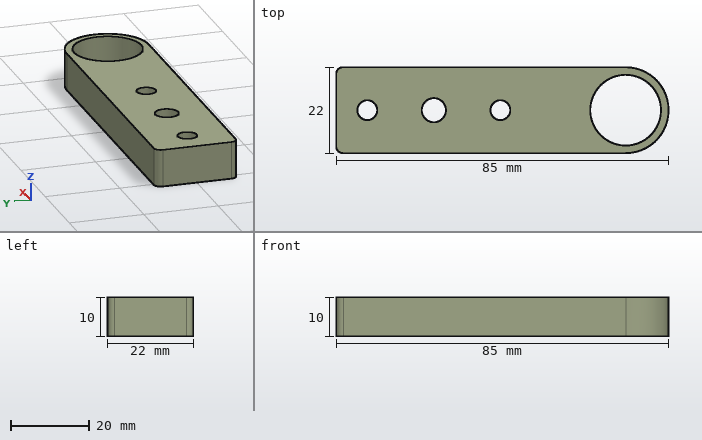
import cadquery as cq

length = 85.0
width = 22.0
thickness = 10.0
corner_radius = 1.8

end_radius = width / 2
ring_center_x = length - end_radius
ring_bore_diameter = 18.0

first_hole_x = 8.0
hole_spacing = 17.0
row_diameters = [5.0, 6.1, 5.0]


def bar_body():
    """Flat bar with a full-round end and two rounded corners at the square end."""
    body = (
        cq.Workplane("XY")
        .moveTo(0, -end_radius)
        .lineTo(ring_center_x, -end_radius)
        .threePointArc((length, 0), (ring_center_x, end_radius))
        .lineTo(0, end_radius)
        .close()
        .extrude(thickness)
    )
    return body.faces("<X").edges("|Z").fillet(corner_radius)


def through_cutter(x, diameter):
    """Cylinder through the full thickness on the bar's centreline."""
    return cq.Workplane("XY").center(x, 0).circle(diameter / 2).extrude(thickness)


result = bar_body().cut(through_cutter(ring_center_x, ring_bore_diameter))
for index, diameter in enumerate(row_diameters):
    hole_x = first_hole_x + index * hole_spacing
    result = result.cut(through_cutter(hole_x, diameter))